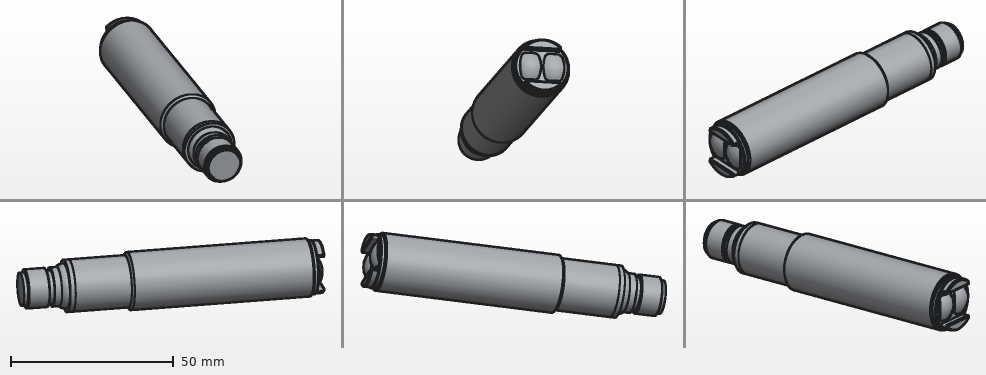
import cadquery as cq
import math

housing_front = 3.7
housing_shoulder = 60.4
neck_start = 61.2
neck_end = 78.8
housing_diameter = 18.0
housing_radius = housing_diameter / 2
neck_radius = 8.1
front_chamfer_length = 0.5
front_chamfer_depth = 0.5

ring_end = 80.4

cap_face = 2.4
cap_radius = 8.4
cap_chamfer = 0.3
tab_radius = 8.2
tab_inner_z = 5.1
tab_width = 11.2
tab_half_width = tab_width / 2
tab_corner_radius = 0.4
tab_chamfer = 0.4

lens_apex = 0.3
lens_offset = 3.7
lens_half_width = 3.3
lens_height = 8.4
lens_half_height = lens_height / 2
lens_side_bulge = 0.9
dome_radius_across = 4.8
dome_radius_upright = 6.6
dome_half_height = 4.7

collar_radius = 7.0
collar_round_start = 80.8
collar_round_end = 82.7
collar_end = 84.9
thread_diameter = 12.2
thread_radius = thread_diameter / 2
core_radius = 5.2
thread_start = 86.4
thread_end = 93.2
thread_chamfer_length = 0.3
thread_chamfer_depth = 0.5
part_end = 94.4


def revolve_about_x(profile):
    """Turn a closed XY profile, given as (x, radius), around the X axis."""
    return profile.close().revolve(360, (0, 0, 0), (1, 0, 0))


def tube(start, end, outer_radius, inner_radius=0):
    """Cylinder or sleeve along X between two stations."""
    sketch = cq.Workplane("YZ", origin=(start, 0, 0)).circle(outer_radius)
    if inner_radius:
        sketch = sketch.circle(inner_radius)
    return sketch.extrude(end - start)


def make_housing():
    """Large barrel stepping down over a short cone to the rear neck."""
    return revolve_about_x(
        cq.Workplane("XY")
        .moveTo(housing_front, 0)
        .lineTo(housing_front, housing_radius - front_chamfer_depth)
        .lineTo(housing_front + front_chamfer_length, housing_radius)
        .lineTo(housing_shoulder, housing_radius)
        .lineTo(neck_start, neck_radius)
        .lineTo(neck_end, neck_radius)
        .lineTo(neck_end, 0)
    )


def make_tab(side):
    """Guard tab above (side = 1) or below (side = -1) the lenses, a flat-ended disc segment."""
    corner_z = math.sqrt(tab_radius**2 - tab_half_width**2)
    tab = (
        cq.Workplane("YZ")
        .moveTo(-tab_half_width, side * tab_inner_z)
        .lineTo(tab_half_width, side * tab_inner_z)
        .lineTo(tab_half_width, side * corner_z)
        .threePointArc((0, side * tab_radius), (-tab_half_width, side * corner_z))
        .close()
        .extrude(cap_face)
    )
    inner_end = ">Z" if side < 0 else "<Z"
    tab = tab.faces(inner_end).edges("|X").fillet(tab_corner_radius)
    return tab.faces("<X").chamfer(tab_chamfer)


def make_cap():
    """Round cover plate carrying both guard tabs, its front rim chamfered."""
    cap = tube(cap_face, housing_front, cap_radius)
    cap = cap.faces("<X").chamfer(cap_chamfer)
    for side in (1, -1):
        cap = cap.union(make_tab(side))
    return cap


def make_dome(centre_y):
    """Barrel solid curved tightly across Y and gently along Z, its crown at the lens apex."""
    arc_drop = dome_radius_upright - math.sqrt(dome_radius_upright**2 - dome_half_height**2)
    arc_end_x = arc_drop - dome_radius_across
    barrel = (
        cq.Workplane("XZ")
        .moveTo(arc_end_x, -dome_half_height)
        .threePointArc((-dome_radius_across, 0), (arc_end_x, dome_half_height))
        .lineTo(0, dome_half_height)
        .lineTo(0, -dome_half_height)
        .close()
        .revolve(360, (0, 0, 0), (0, 1, 0))
    )
    return barrel.translate((lens_apex + dome_radius_across, centre_y, 0))


def make_lens(side):
    """Domed lens block with flat top and bottom and bowed sides, standing on the cap."""
    centre_y = side * lens_offset
    corner_y = lens_half_width - lens_side_bulge
    block = (
        cq.Workplane("YZ")
        .moveTo(centre_y - corner_y, -lens_half_height)
        .lineTo(centre_y + corner_y, -lens_half_height)
        .threePointArc((centre_y + lens_half_width, 0), (centre_y + corner_y, lens_half_height))
        .lineTo(centre_y - corner_y, lens_half_height)
        .threePointArc((centre_y - lens_half_width, 0), (centre_y - corner_y, -lens_half_height))
        .close()
        .extrude(cap_face)
    )
    return block.intersect(make_dome(centre_y))


def make_collar():
    """Connector collar on the core, rounded down to the thread diameter."""
    drop = collar_radius - thread_radius
    run = collar_round_end - collar_round_start
    round_radius = (run**2 + drop**2) / (2 * drop)
    half_angle = math.asin(run / round_radius) / 2
    round_middle = (
        collar_round_start + round_radius * math.sin(half_angle),
        collar_radius - round_radius * (1 - math.cos(half_angle)),
    )
    return revolve_about_x(
        cq.Workplane("XY")
        .moveTo(ring_end, core_radius)
        .lineTo(ring_end, collar_radius)
        .lineTo(collar_round_start, collar_radius)
        .threePointArc(round_middle, (collar_round_end, thread_radius))
        .lineTo(collar_end, thread_radius)
        .lineTo(collar_end, core_radius)
    )


def make_thread_sleeve():
    """Connector sleeve at thread diameter with both outer rims chamfered."""
    rim_radius = thread_radius - thread_chamfer_depth
    return revolve_about_x(
        cq.Workplane("XY")
        .moveTo(thread_start, core_radius)
        .lineTo(thread_start, rim_radius)
        .lineTo(thread_start + thread_chamfer_length, thread_radius)
        .lineTo(thread_end - thread_chamfer_length, thread_radius)
        .lineTo(thread_end, rim_radius)
        .lineTo(thread_end, core_radius)
    )


housing = make_housing()
end_ring = tube(neck_end, ring_end, neck_radius)
cap = make_cap()
lenses = [make_lens(side) for side in (1, -1)]
collar = make_collar()
thread_sleeve = make_thread_sleeve()
connector_core = tube(ring_end, part_end, core_radius)

result = cq.Compound.makeCompound(
    [
        housing.val(),
        end_ring.val(),
        cap.val(),
        *[lens.val() for lens in lenses],
        collar.val(),
        thread_sleeve.val(),
        connector_core.val(),
    ]
)